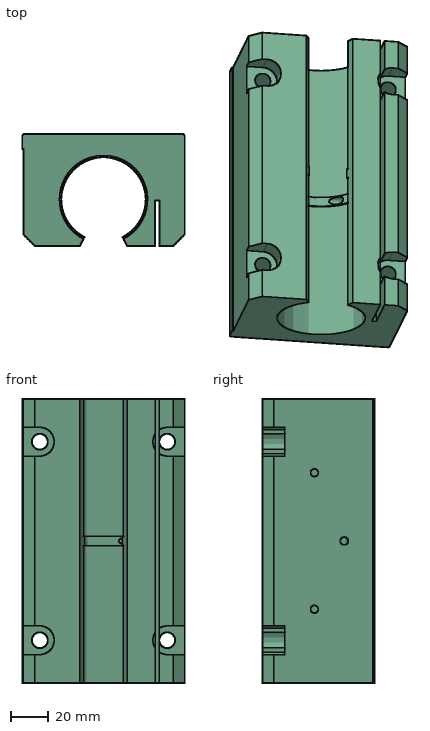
import cadquery as cq
import math

LENGTH = 152.0
HALF_WIDTH = 43.5
FRONT_Y = -25.0
BACK_Y = 35.1
FRONT_CHAMFER = 6.2
BACK_CHAMFER = 0.9

STRIP_HEIGHT = 0.6
STRIP_WIDTH = 8.2

BORE_RADIUS = 23.5
RING_RADIUS = 22.5
RING_WIDTH = 5.0
THROAT_HALF_ANGLE = 26.8

SLIT_X = 28.7
SLIT_WIDTH = 2.3
SLIT_DEPTH = 24.3

MOUNT_X = 34.0
MOUNT_Z = 53.0
MOUNT_DIAMETER = 8.4
COUNTERBORE_DIAMETER = 15.4
COUNTERBORE_DEPTH = 12.0

SCREW_HOLE_DIAMETER = 4.1
SCREW_HOLE_Y = 2.9
SCREW_HOLE_Z = 36.5
OIL_HOLE_DIAMETER = 4.3
OIL_HOLE_Y = 18.8


def make_block():
    strip_x = -HALF_WIDTH
    side_x = strip_x + STRIP_HEIGHT
    strip_front_y = BACK_Y - STRIP_WIDTH
    outline = [
        (side_x + FRONT_CHAMFER, FRONT_Y),
        (HALF_WIDTH - FRONT_CHAMFER, FRONT_Y),
        (HALF_WIDTH, FRONT_Y + FRONT_CHAMFER),
        (HALF_WIDTH, BACK_Y - BACK_CHAMFER),
        (HALF_WIDTH - BACK_CHAMFER, BACK_Y),
        (strip_x + BACK_CHAMFER, BACK_Y),
        (strip_x, BACK_Y - BACK_CHAMFER),
        (strip_x, strip_front_y),
        (side_x, strip_front_y),
        (side_x, FRONT_Y + FRONT_CHAMFER),
    ]
    return cq.Workplane("XY").polyline(outline).close().extrude(LENGTH / 2, both=True)


def make_bore():
    """Bore volume, waisted at mid-length so that the ring is left standing."""
    bore = cq.Workplane("XY").circle(BORE_RADIUS).extrude(LENGTH / 2, both=True)
    ring = (
        cq.Workplane("XY")
        .circle(BORE_RADIUS)
        .circle(RING_RADIUS)
        .extrude(RING_WIDTH / 2, both=True)
    )
    return bore.cut(ring)


def make_throat():
    """Wedge with radial walls, opening the bore through the front face."""
    half_opening = -FRONT_Y * math.tan(math.radians(THROAT_HALF_ANGLE))
    return (
        cq.Workplane("XY")
        .polyline([(0, 0), (-half_opening, FRONT_Y), (half_opening, FRONT_Y)])
        .close()
        .extrude(LENGTH / 2, both=True)
    )


def make_slit():
    return cq.Workplane("XY").box(SLIT_WIDTH, SLIT_DEPTH, LENGTH).translate(
        (SLIT_X, FRONT_Y + SLIT_DEPTH / 2, 0)
    )


def make_mounting_hole(side, z):
    """Through hole along Y; its counterbore runs out through the side (+1 or -1)."""
    center = cq.Vector(side * MOUNT_X, FRONT_Y, z)
    along_y = cq.Vector(0, 1, 0)
    hole = cq.Solid.makeCylinder(MOUNT_DIAMETER / 2, BACK_Y - FRONT_Y, center, along_y)
    seat = cq.Solid.makeCylinder(COUNTERBORE_DIAMETER / 2, COUNTERBORE_DEPTH, center, along_y)
    runout_length = HALF_WIDTH - MOUNT_X
    runout = cq.Workplane("XY").box(runout_length, COUNTERBORE_DEPTH, COUNTERBORE_DIAMETER).translate(
        (side * (MOUNT_X + runout_length / 2), FRONT_Y + COUNTERBORE_DEPTH / 2, z)
    )
    return runout.union(cq.Workplane(seat)).union(cq.Workplane(hole))


def make_cross_hole(diameter, y, z):
    return cq.Solid.makeCylinder(diameter / 2, HALF_WIDTH, cq.Vector(0, y, z), cq.Vector(1, 0, 0))


result = make_block().cut(make_bore()).cut(make_throat()).cut(make_slit())

for side in (-1, 1):
    for z in (-MOUNT_Z, MOUNT_Z):
        result = result.cut(make_mounting_hole(side, z))

for z in (-SCREW_HOLE_Z, SCREW_HOLE_Z):
    result = result.cut(make_cross_hole(SCREW_HOLE_DIAMETER, SCREW_HOLE_Y, z))
result = result.cut(make_cross_hole(OIL_HOLE_DIAMETER, OIL_HOLE_Y, 0))